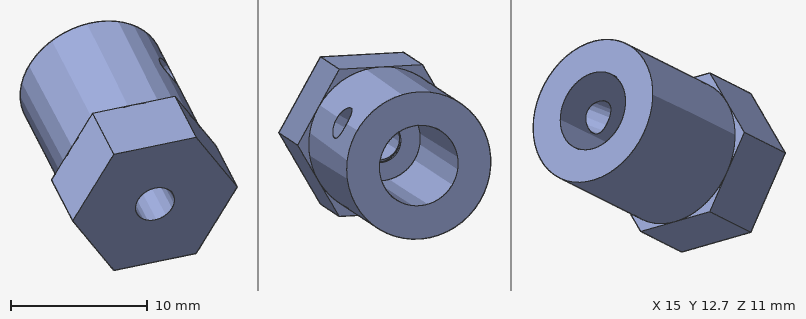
import cadquery as cq
import math

total_length = 15.0
head_length = total_length / 3
sleeve_length = total_length - head_length
across_flats = 11.0
across_corners = across_flats / math.cos(math.radians(30))
sleeve_radius = across_flats / 2

bore_diameter = 6.0
bore_depth = sleeve_length
through_diameter = 3.0

spiral_start = 120.0
spiral_sweep = 213.0
spiral_growth = 0.16
spiral_depth = 0.3

screw_diameter = 2.5
screw_offset = 4.0
screw_elevation = 30.0


def make_body():
    """Round sleeve with a hexagonal head whose corners lie along Y."""
    sleeve = cq.Workplane("YZ").circle(sleeve_radius).extrude(sleeve_length)
    head = (
        cq.Workplane("YZ")
        .workplane(offset=sleeve_length)
        .polygon(6, across_corners)
        .extrude(head_length)
    )
    return sleeve.union(head)


def cut_bore(body):
    """Cut the wide bore from the sleeve end and the narrow hole right through."""
    bore = cq.Workplane("YZ").circle(bore_diameter / 2).extrude(bore_depth)
    through_hole = cq.Workplane("YZ").circle(through_diameter / 2).extrude(total_length)
    return body.cut(bore).cut(through_hole)


def spiral_point(fraction):
    """Point on a spiral whose radius grows evenly with the turning angle."""
    angle = math.radians(spiral_start + spiral_sweep * fraction)
    radius = through_diameter / 2 + spiral_growth * fraction
    return radius * math.cos(angle), radius * math.sin(angle)


def cut_spiral_recess(body):
    """Cut the recess, its wall one off-centre arc along the spiral, ending in a radial step."""
    recess = (
        cq.Workplane("YZ")
        .workplane(offset=bore_depth)
        .lineTo(*spiral_point(0))
        .threePointArc(spiral_point(0.5), spiral_point(1))
        .close()
        .extrude(spiral_depth)
    )
    return body.cut(recess)


def cut_screw_hole(body):
    """Cut the radial hole through one wall of the sleeve, into the bore."""
    angle = math.radians(screw_elevation)
    hole_plane = cq.Plane(
        origin=(screw_offset, 0, 0),
        xDir=(1, 0, 0),
        normal=(0, math.cos(angle), math.sin(angle)),
    )
    hole = cq.Workplane(hole_plane).circle(screw_diameter / 2).extrude(across_flats)
    return body.cut(hole)


bored_body = cut_bore(make_body())
result = cut_screw_hole(cut_spiral_recess(bored_body))